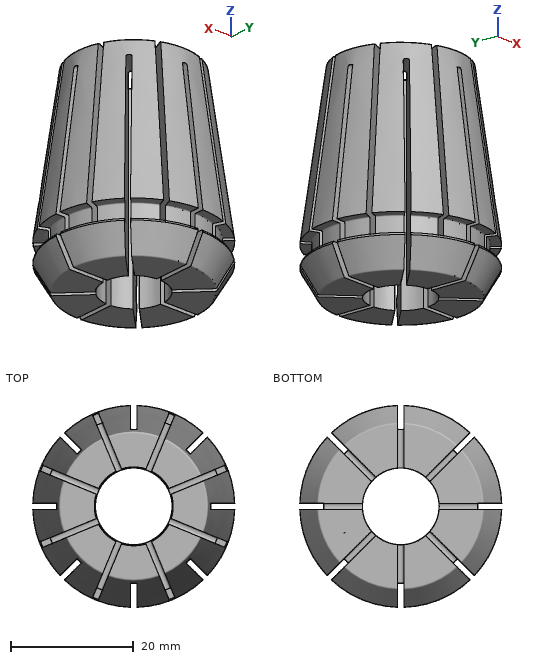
import cadquery as cq
import math

length = 40
rim_height = 5.1
flange_top = 5.55
cone_bottom = 9.1

max_radius = 16.5
neck_radius = 14.55
bore_diameter = 12.5
cone_angle = 8
flange_angle = 30

nose_fillet = 0.3
bore_chamfer = 0.2
rim_chamfer = 0.25
base_fillet = 0.3
groove_fillet = 0.2

slot_width = 1.0
slot_corner_radius = 0.4
slots_per_set = 8
slot_pitch = 360 / slots_per_set
lower_slot_end = 37.0
upper_slot_end = 5.95


def collet_body():
    """Revolved double-cone sleeve with an extraction groove and a through bore."""
    bore_radius = bore_diameter / 2
    flange_slope = math.tan(math.radians(flange_angle))
    base_radius = max_radius - rim_height * flange_slope
    nose_radius = max_radius - (length - cone_bottom) * math.tan(math.radians(cone_angle))
    outer_edge = cq.selectors.RadiusNthSelector(-1)
    fillet_edge = neck_radius + groove_fillet
    body = (
        cq.Workplane("XZ")
        .moveTo(bore_radius, 0)
        .lineTo(base_radius, 0)
        .lineTo(max_radius, rim_height)
        .lineTo(max_radius - rim_chamfer, flange_top)
        .lineTo(fillet_edge, flange_top)
        .radiusArc((neck_radius, flange_top + groove_fillet), groove_fillet)
        .lineTo(neck_radius, cone_bottom - groove_fillet)
        .radiusArc((fillet_edge, cone_bottom), groove_fillet)
        .lineTo(max_radius, cone_bottom)
        .lineTo(nose_radius, length)
        .lineTo(bore_radius + bore_chamfer, length)
        .lineTo(bore_radius, length - bore_chamfer)
        .close()
        .revolve(360, (0, 0), (0, 1))
    )
    body = body.faces(">Z").edges(outer_edge).fillet(nose_fillet)
    return body.faces("<Z").edges(outer_edge).fillet(base_fillet)


def slot_cutter(closed_end, open_end):
    """Radial slot from the axis outward along +X, with rounded corners at its closed end."""
    slot_length = abs(closed_end - open_end)
    reach = max_radius + slot_width
    corner_side = ">Z" if closed_end > open_end else "<Z"
    return (
        cq.Workplane("XY")
        .box(reach, slot_width, slot_length, centered=(False, True, True))
        .translate((0, 0, (closed_end + open_end) / 2))
        .faces(corner_side)
        .edges("|X")
        .fillet(slot_corner_radius)
    )


def cut_slot_set(body, cutter, first_angle):
    """Cut equally spaced copies of a slot around the axis."""
    for index in range(slots_per_set):
        angle = first_angle + index * slot_pitch
        body = body.cut(cutter.rotate((0, 0, 0), (0, 0, 1), angle))
    return body


result = collet_body()
result = cut_slot_set(result, slot_cutter(lower_slot_end, 0), 0)
result = cut_slot_set(result, slot_cutter(upper_slot_end, length), slot_pitch / 2)